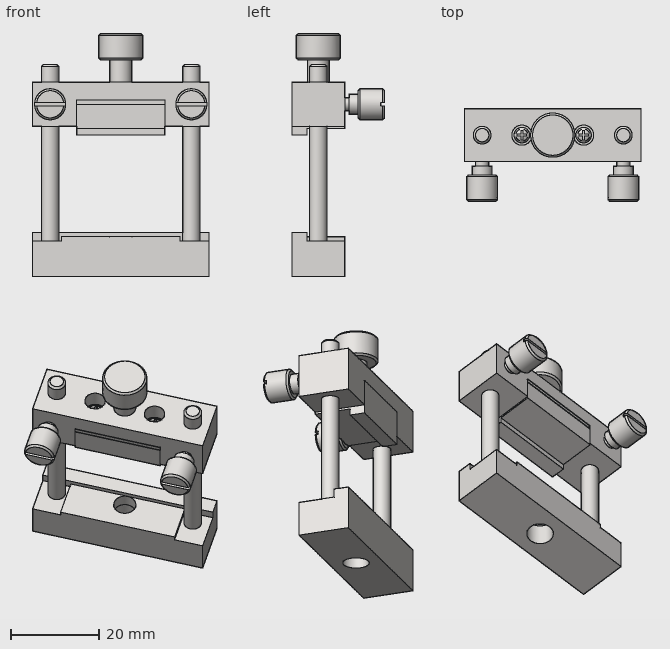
import cadquery as cq
import math


BODY_LENGTH = 40.0
BODY_DEPTH = 12.0
FRONT_Y = -BODY_DEPTH / 2
BACK_Y = BODY_DEPTH / 2
BASE_HEIGHT = 10.0
LIP_THICKNESS = 3.45
SEAT_DROP = 1.0
END_DROP = 2.0
SEAT_LENGTH = 26.8
BASE_HOLE_DIAMETER = 5.0
COUNTERBORE_DIAMETER = 6.0
COUNTERBORE_DEPTH = 6.0

ROD_DIAMETER = 4.0
ROD_TOP_Z = 48.0
ROD_CHAMFER = 0.5
ROD_X = BODY_LENGTH / 2 - ROD_DIAMETER

BLOCK_BOTTOM_Z = 34.0
BLOCK_HEIGHT = 10.0
BLOCK_TOP_Z = BLOCK_BOTTOM_Z + BLOCK_HEIGHT

JAW_LENGTH = 20.0
JAW_TOP_Z = 40.0
JAW_FRONT_BOTTOM_Z = 33.5
JAW_LIP_BOTTOM_Z = 32.0
RELIEF_HEIGHT = 1.0
RELIEF_DEPTH = 0.1

SHAFT_DIAMETER = 5.0
KNOB_DIAMETER = 10.0
KNOB_HEIGHT = 6.0
KNOB_TOP_Z = 55
KNOB_CHAMFER = 0.45

THUMB_Z = BLOCK_BOTTOM_Z + BLOCK_HEIGHT / 2
THUMB_NECK_DIAMETER = 3.0
THUMB_NECK_LENGTH = 1.0
THUMB_COLLAR_DIAMETER = 4.55
THUMB_COLLAR_LENGTH = 2.0
THUMB_HEAD_DIAMETER = 7.05
THUMB_HEAD_LENGTH = 6.05
THUMB_CHAMFER = 0.45
THUMB_SLOT_WIDTH = 0.7
THUMB_SLOT_DEPTH = 0.9

JAW_SCREW_X = 7.0
JAW_SCREW_HOLE_DIAMETER = 4.55
JAW_SCREW_HEAD_DIAMETER = 3.5
JAW_SCREW_RIM_HEIGHT = 0.35
JAW_SCREW_BEVEL = 0.4
JAW_SCREW_HEAD_HEIGHT = 1.1
JAW_SCREW_SHANK_DIAMETER = 2.0
JAW_SCREW_SHANK_LENGTH = 4.0
CROSS_LENGTH = 2.2
CROSS_WIDTH = 0.5
CROSS_DEPTH = 0.65


def box_between(x_range, y_range, z_range):
    """Box from its lower and upper limit on each axis."""
    sizes = [high - low for low, high in (x_range, y_range, z_range)]
    corner = (x_range[0], y_range[0], z_range[0])
    return cq.Workplane("XY").box(*sizes, centered=False).translate(corner)


def centered_range(length):
    return (-length / 2, length / 2)


def upright_cylinder(diameter, bottom_z, top_z, x=0):
    return cq.Workplane("XY", origin=(x, 0, bottom_z)).circle(diameter / 2).extrude(top_z - bottom_z)


def make_frame():
    """Base with rear lip, middle seat and counterbored hole, carrying the two guide rods."""
    end_floor_z = BASE_HEIGHT - END_DROP
    seat_z = BASE_HEIGHT - SEAT_DROP
    full_length = centered_range(BODY_LENGTH)
    full_depth = (FRONT_Y, BACK_Y)
    frame = box_between(full_length, full_depth, (0, end_floor_z))
    frame = frame.union(box_between(full_length, (BACK_Y - LIP_THICKNESS, BACK_Y), (0, BASE_HEIGHT)))
    frame = frame.union(box_between(centered_range(SEAT_LENGTH), full_depth, (0, seat_z)))
    frame = frame.cut(upright_cylinder(BASE_HOLE_DIAMETER, 0, seat_z))
    frame = frame.cut(upright_cylinder(COUNTERBORE_DIAMETER, 0, COUNTERBORE_DEPTH))
    for x in (-ROD_X, ROD_X):
        rod = upright_cylinder(ROD_DIAMETER, end_floor_z, ROD_TOP_Z, x)
        frame = frame.union(rod.faces(">Z").chamfer(ROD_CHAMFER))
    return frame


def make_block():
    """Sliding block with a jaw pocket and the holes for rods and screws."""
    block = box_between(centered_range(BODY_LENGTH), (FRONT_Y, BACK_Y), (BLOCK_BOTTOM_Z, BLOCK_TOP_Z))
    pocket = box_between(centered_range(JAW_LENGTH), (FRONT_Y, BACK_Y), (BLOCK_BOTTOM_Z, JAW_TOP_Z))
    block = block.cut(pocket)
    block = block.cut(upright_cylinder(SHAFT_DIAMETER, JAW_TOP_Z, BLOCK_TOP_Z))
    for side in (-1, 1):
        block = block.cut(upright_cylinder(ROD_DIAMETER, BLOCK_BOTTOM_Z, BLOCK_TOP_Z, side * ROD_X))
        block = block.cut(
            upright_cylinder(JAW_SCREW_HOLE_DIAMETER, JAW_TOP_Z, BLOCK_TOP_Z, side * JAW_SCREW_X)
        )
        block = block.cut(make_thumb_screw(side * ROD_X))
    return block


def make_jaw():
    """Jaw filling the block's pocket, with a rear lip and tapped holes for the jaw screws."""
    length = centered_range(JAW_LENGTH)
    jaw = box_between(length, (FRONT_Y, BACK_Y), (JAW_FRONT_BOTTOM_Z, JAW_TOP_Z))
    jaw = jaw.union(box_between(length, (BACK_Y - LIP_THICKNESS, BACK_Y), (JAW_LIP_BOTTOM_Z, JAW_TOP_Z)))
    relief_y = (FRONT_Y, FRONT_Y + RELIEF_DEPTH)
    jaw = jaw.cut(box_between(length, relief_y, (JAW_TOP_Z - RELIEF_HEIGHT, JAW_TOP_Z)))
    for x in (-JAW_SCREW_X, JAW_SCREW_X):
        jaw = jaw.cut(make_jaw_screw(x))
    return jaw


def make_knob_screw():
    """Round knob on a shaft that reaches down through the block to the jaw."""
    knob_bottom_z = KNOB_TOP_Z - KNOB_HEIGHT
    knob = upright_cylinder(KNOB_DIAMETER, knob_bottom_z, KNOB_TOP_Z)
    knob = knob.faces("<Z or >Z").chamfer(KNOB_CHAMFER)
    return knob.union(upright_cylinder(SHAFT_DIAMETER, JAW_TOP_Z, knob_bottom_z))


def make_thumb_screw(x):
    """Slotted thumb screw along Y, its tip resting against the guide rod."""

    def cylinder(diameter, start_y, length):
        plane = cq.Workplane("XZ", origin=(x, start_y, THUMB_Z))
        return plane.circle(diameter / 2).extrude(length)

    collar_y = FRONT_Y - THUMB_NECK_LENGTH
    head_y = collar_y - THUMB_COLLAR_LENGTH
    tip_y = head_y - THUMB_HEAD_LENGTH
    rod = upright_cylinder(ROD_DIAMETER, BLOCK_BOTTOM_Z, BLOCK_TOP_Z, x)
    neck = cylinder(THUMB_NECK_DIAMETER, 0, -collar_y).cut(rod)
    collar = cylinder(THUMB_COLLAR_DIAMETER, collar_y, THUMB_COLLAR_LENGTH)
    head = cylinder(THUMB_HEAD_DIAMETER, head_y, THUMB_HEAD_LENGTH)
    head = head.faces("<Y or >Y").chamfer(THUMB_CHAMFER)
    slot_x = (x - THUMB_HEAD_DIAMETER / 2, x + THUMB_HEAD_DIAMETER / 2)
    slot_z = (THUMB_Z - THUMB_SLOT_WIDTH / 2, THUMB_Z + THUMB_SLOT_WIDTH / 2)
    head = head.cut(box_between(slot_x, (tip_y, tip_y + THUMB_SLOT_DEPTH), slot_z))
    return neck.union(collar).union(head)


def make_jaw_screw(x):
    """Domed cross-head screw whose head rests on the jaw."""
    head_radius = JAW_SCREW_HEAD_DIAMETER / 2
    dome_edge_radius = head_radius - JAW_SCREW_BEVEL
    dome_edge_z = JAW_SCREW_RIM_HEIGHT + JAW_SCREW_BEVEL
    dome_height = JAW_SCREW_HEAD_HEIGHT - dome_edge_z
    sphere_radius = (dome_edge_radius**2 + dome_height**2) / (2 * dome_height)
    mid_angle = math.asin(dome_edge_radius / sphere_radius) / 2
    sphere_center_z = JAW_SCREW_HEAD_HEIGHT - sphere_radius
    dome_middle = (
        sphere_radius * math.sin(mid_angle),
        sphere_center_z + sphere_radius * math.cos(mid_angle),
    )
    shank_radius = JAW_SCREW_SHANK_DIAMETER / 2
    screw = (
        cq.Workplane("XZ")
        .moveTo(0, -JAW_SCREW_SHANK_LENGTH)
        .lineTo(shank_radius, -JAW_SCREW_SHANK_LENGTH)
        .lineTo(shank_radius, 0)
        .lineTo(head_radius, 0)
        .lineTo(head_radius, JAW_SCREW_RIM_HEIGHT)
        .lineTo(dome_edge_radius, dome_edge_z)
        .threePointArc(dome_middle, (0, JAW_SCREW_HEAD_HEIGHT))
        .close()
        .revolve(360, (0, 0), (0, 1))
    )
    long_side = centered_range(CROSS_LENGTH)
    short_side = centered_range(CROSS_WIDTH)
    cross_z = (JAW_SCREW_HEAD_HEIGHT - CROSS_DEPTH, JAW_SCREW_HEAD_HEIGHT)
    screw = screw.cut(box_between(long_side, short_side, cross_z))
    screw = screw.cut(box_between(short_side, long_side, cross_z))
    return screw.translate((x, 0, JAW_TOP_Z))


frame = make_frame()
block = make_block()
jaw = make_jaw()
knob_screw = make_knob_screw()
thumb_screws = [make_thumb_screw(x) for x in (-ROD_X, ROD_X)]
jaw_screws = [make_jaw_screw(x) for x in (-JAW_SCREW_X, JAW_SCREW_X)]

result = cq.Compound.makeCompound(
    [
        frame.val(),
        block.val(),
        jaw.val(),
        knob_screw.val(),
        *[screw.val() for screw in thumb_screws],
        *[screw.val() for screw in jaw_screws],
    ]
)